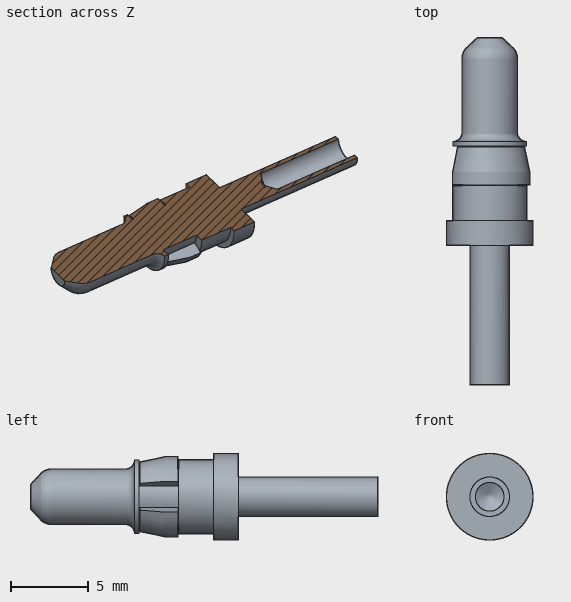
import cadquery as cq
import math


overall_length = 22.4
tail_length = 9.0
collar_width = 1.6
body_width = 2.25
groove_width = 2.55
flange_width = 0.3

tail_radius = 2.55 / 2
collar_radius = 5.6 / 2
body_radius = 4.8 / 2
core_radius = 3.6 / 2
flange_radius = 4.75 / 2
shaft_radius = 3.6 / 2

shoulder_width = 0.46
shoulder_hollow_radius = 0.6

tip_flat_radius = 0.8
tip_cone_length = 0.7
tip_cone_radius = 1.55
tip_round_radius = 1.0

bore_radius = 1.85 / 2
bore_depth = 6.0
drill_point_angle = math.radians(118)

clip_radius = 5.2 / 2
clip_nose_radius = 4.5 / 2
clip_clearance = 0.05
clip_band_width = 0.8
clip_gap_angle = 45.0

collar_start = tail_length
body_start = collar_start + collar_width
groove_start = body_start + body_width
flange_start = groove_start + groove_width
shoulder_start = flange_start + flange_width
shaft_start = shoulder_start + shoulder_width
tip_cone_start = overall_length - tip_cone_length
tip_round_drop = shaft_radius - tip_cone_radius
tip_round_length = math.sqrt(tip_round_radius**2 - (tip_round_radius - tip_round_drop) ** 2)
tip_round_start = tip_cone_start - tip_round_length


def revolve_about_y(profile, angle=360.0):
    """Revolve a profile drawn in the XY plane about the Y axis."""
    return profile.close().revolve(angle, (0, 0, 0), (0, 1, 0))


def make_pin():
    """Turned pin with collar, body, clip groove, flange and rounded tip."""
    profile = (
        cq.Workplane("XY")
        .lineTo(tail_radius, 0)
        .lineTo(tail_radius, collar_start)
        .lineTo(collar_radius, collar_start)
        .lineTo(collar_radius, body_start)
        .lineTo(body_radius, body_start)
        .lineTo(body_radius, groove_start)
        .lineTo(core_radius, groove_start)
        .lineTo(core_radius, flange_start)
        .lineTo(flange_radius, flange_start)
        .lineTo(flange_radius, shoulder_start)
        .radiusArc((shaft_radius, shaft_start), shoulder_hollow_radius)
        .lineTo(shaft_radius, tip_round_start)
        .radiusArc((tip_cone_radius, tip_cone_start), -tip_round_radius)
        .lineTo(tip_flat_radius, overall_length)
        .lineTo(0, overall_length)
    )
    return revolve_about_y(profile)


def make_bore():
    """Drilled hole with a conical end, entering from the tail."""
    point_length = bore_radius / math.tan(drill_point_angle / 2)
    profile = (
        cq.Workplane("XY")
        .lineTo(bore_radius, 0)
        .lineTo(bore_radius, bore_depth)
        .lineTo(0, bore_depth + point_length)
    )
    return revolve_about_y(profile)


def make_clip():
    """C-shaped clip seated on the groove core, with a tapered nose."""
    clip_start = groove_start + clip_clearance
    clip_end = flange_start - clip_clearance
    taper_start = clip_start + clip_band_width
    profile = (
        cq.Workplane("XY")
        .moveTo(core_radius, clip_start)
        .lineTo(clip_radius, clip_start)
        .lineTo(clip_radius, taper_start)
        .lineTo(clip_nose_radius, clip_end)
        .lineTo(core_radius, clip_end)
    )
    sweep_angle = 360.0 - clip_gap_angle
    clip = revolve_about_y(profile, sweep_angle)
    return clip.rotate((0, 0, 0), (0, 1, 0), -sweep_angle / 2)


result = make_pin().union(make_clip()).cut(make_bore())